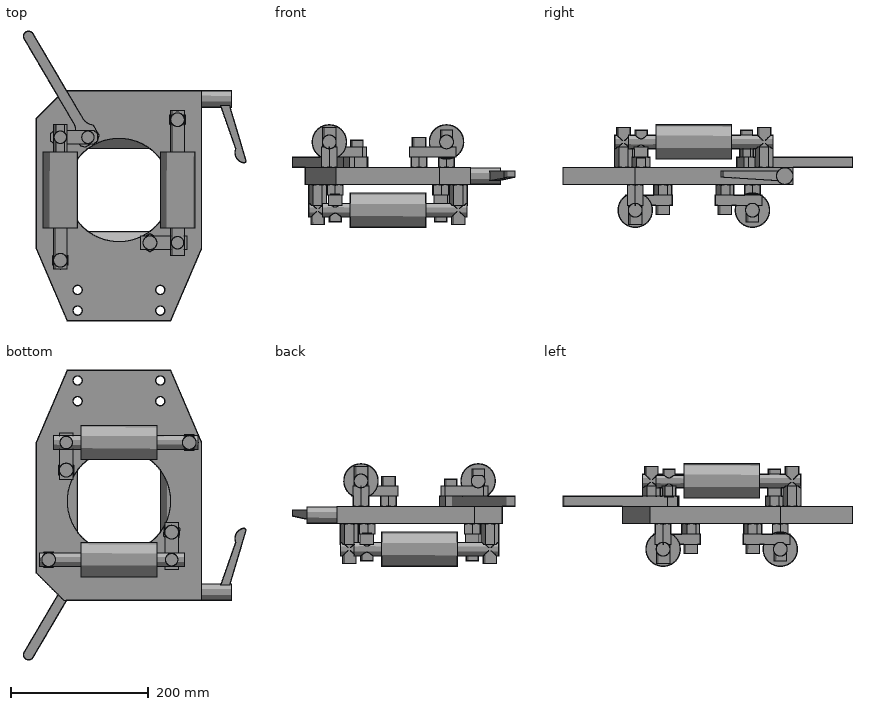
import cadquery as cq
import math

PLATE_THICKNESS = 25.0
PLATE_HALF_WIDTH = 120.0
PLATE_BACK_Y = 144.0
PLATE_FRONT_Y = -190.0
PLATE_FRONT_HALF_WIDTH = 75.0
PLATE_TAPER_START_Y = -85.0
PLATE_CORNER_CUT = 40.0
BORE_DIAMETER = 150.0
MOUNT_HOLE_DIAMETER = 13.0
MOUNT_HOLE_X = 60.0
MOUNT_HOLE_YS = (-145.0, -175.0)
PLATE_TOP = PLATE_THICKNESS / 2

OUTER_HEIGHT = 149.0
ROLLER_DIAMETER = 50.0
ROLLER_LENGTH = 110.0
ROLLER_OFFSET = 85.0
ROLLER_Z = (OUTER_HEIGHT - ROLLER_DIAMETER) / 2
SHAFT_DIAMETER = 20.0
SHAFT_FIXED_END = 115.0
SHAFT_LINK_END = 95.0
SHAFT_FLAT_WIDTH = 12.0

FIXED_POST_DIAMETER = 19.8
FIXED_POST_Y = -102.0
FIXED_POST_TOP = 70.5

LINK_WIDTH = 20.0
LINK_BOTTOM = PLATE_TOP + 15.0
LINK_TOP = LINK_BOTTOM + 15.0
LINK_OVERHANG = 14.0
LINK_Y = 76.5
LINK_BEVEL_LENGTH = 6.0
LINK_BEVEL_WIDTH = 4.5
PIVOT_OFFSET = 45.0
LINK_PIN_DIAMETER = 18.0
LINK_PIN_TOP = 66.5
LINK_PIN_TAIL_DIAMETER = 13.0
LINK_PIN_TAIL = 1.5
PIVOT_DIAMETER = 20.0
PIVOT_TOP = 56.0
CLAMP_PIVOT_DIAMETER = 18.0
CLAMP_PIVOT_TOP = 52.0

HEX_FLATS = 22.8
HEX_CHAMFER_ANGLE = 30.0
HEX_FLATS_TO_X = 30.0
LOWER_PIVOT_HEX_TURNS = {90: 30.0, 270: 36.0}

HANDLE_ANGLE = 120.45
HANDLE_HEIGHT = LINK_BOTTOM - PLATE_TOP
HANDLE_BAR_WIDTH = 15.0
HANDLE_BACK_REACH = 230.45
HANDLE_HEAD_WIDTH = 31.0
HANDLE_HEAD_BACK = 10.5
HANDLE_HEAD_FRONT = 11.5
HANDLE_HEAD_CHAMFER = 5.0
HANDLE_NECK_RADIUS = 20.0

PLUNGER_DIAMETER = 24.0
PLUNGER_END_X = 163.5
PLUNGER_Y = PLATE_BACK_Y - PLUNGER_DIAMETER / 2
LEVER_TOP_Z = 7.5
LEVER_ROOT_BOTTOM_Z = -7.3
LEVER_TIP_BOTTOM_Z = -1.5
LEVER_ROOT_LEFT_X = 144.0
LEVER_ROOT_RIGHT_X = 157.8
LEVER_NECK = (169.2, 60.0)
LEVER_BULGE_SIDE = (168.5, 57.0)
LEVER_BULGE_MIDDLE = (171.0, 45.5)
LEVER_BULGE_END = (179.5, 39.6)
LEVER_TIP_MIDDLE = (183.2, 40.0)
LEVER_TIP_RIGHT = (184.45, 42.5)


def upright(diameter, x, y, bottom, top):
    """Vertical round bar between two heights."""
    return cq.Workplane("XY").workplane(offset=bottom).center(x, y).circle(diameter / 2).extrude(top - bottom)


def along_y(diameter, x, z, start_y, end_y):
    """Round bar lying along Y."""
    bar = cq.Solid.makeCylinder(
        diameter / 2, end_y - start_y, cq.Vector(x, start_y, z), cq.Vector(0, 1, 0)
    )
    return cq.Workplane(obj=bar)


def hex_spacer(x, y, top, turn=0.0):
    """Hexagonal spacer on the plate, two flats facing X, corners bevelled at the plate end."""
    height = top - PLATE_TOP
    flat_radius = HEX_FLATS / 2
    corner_radius = HEX_FLATS / math.sqrt(3)
    bevel = (corner_radius - flat_radius) * math.tan(math.radians(HEX_CHAMFER_ANGLE))
    prism = (
        cq.Workplane("XY")
        .polygon(6, 2 * corner_radius)
        .extrude(height)
        .rotate((0, 0, 0), (0, 0, 1), HEX_FLATS_TO_X + turn)
    )
    blank_profile = [
        (0, 0),
        (flat_radius, 0),
        (corner_radius, bevel),
        (corner_radius, height),
        (0, height),
    ]
    turned_blank = cq.Workplane("XZ").polyline(blank_profile).close().revolve(360, (0, 0, 0), (0, 1, 0))
    return prism.intersect(turned_blank).translate((x, y, PLATE_TOP))


def make_plate():
    corner_cut_x = PLATE_CORNER_CUT - PLATE_HALF_WIDTH
    outline = [
        (-PLATE_FRONT_HALF_WIDTH, PLATE_FRONT_Y),
        (PLATE_FRONT_HALF_WIDTH, PLATE_FRONT_Y),
        (PLATE_HALF_WIDTH, PLATE_TAPER_START_Y),
        (PLATE_HALF_WIDTH, PLATE_BACK_Y),
        (corner_cut_x, PLATE_BACK_Y),
        (-PLATE_HALF_WIDTH, PLATE_BACK_Y - PLATE_CORNER_CUT),
        (-PLATE_HALF_WIDTH, PLATE_TAPER_START_Y),
    ]
    mount_holes = [(side * MOUNT_HOLE_X, y) for side in (-1, 1) for y in MOUNT_HOLE_YS]
    plate = cq.Workplane("XY").polyline(outline).close().extrude(PLATE_THICKNESS / 2, both=True)
    bore = cq.Workplane("XY").circle(BORE_DIAMETER / 2).extrude(PLATE_THICKNESS, both=True)
    holes = (
        cq.Workplane("XY")
        .pushPoints(mount_holes)
        .circle(MOUNT_HOLE_DIAMETER / 2)
        .extrude(PLATE_THICKNESS, both=True)
    )
    return plate.cut(bore).cut(holes)


def make_link(bevelled):
    """Flat bar from the shaft pin to the pivot, with square ends or bevelled corners."""
    length = ROLLER_OFFSET - PIVOT_OFFSET + 2 * LINK_OVERHANG
    center_x = -(ROLLER_OFFSET + PIVOT_OFFSET) / 2
    thickness = LINK_TOP - LINK_BOTTOM
    plane = cq.Workplane("XY").workplane(offset=LINK_BOTTOM).center(center_x, LINK_Y)
    if bevelled:
        tip = length / 2
        shoulder = tip - LINK_BEVEL_LENGTH
        side = LINK_WIDTH / 2
        tip_side = side - LINK_BEVEL_WIDTH
        outline = [
            (tip, -tip_side),
            (tip, tip_side),
            (shoulder, side),
            (-shoulder, side),
            (-tip, tip_side),
            (-tip, -tip_side),
            (-shoulder, -side),
            (shoulder, -side),
        ]
        link = plane.polyline(outline).close().extrude(thickness)
    else:
        link = plane.rect(length, LINK_WIDTH).extrude(thickness)
    return link


def make_roller_unit(clamped, pivot_hex_turn=0.0):
    """Left upper roller with shaft, fixed post and swing link; the clamped one takes the handle."""
    x = -ROLLER_OFFSET
    unit = along_y(ROLLER_DIAMETER, x, ROLLER_Z, -ROLLER_LENGTH / 2, ROLLER_LENGTH / 2)
    shaft = along_y(SHAFT_DIAMETER, x, ROLLER_Z, -SHAFT_FIXED_END, SHAFT_LINK_END)
    if clamped:
        shaft = shaft.cut(make_shaft_flat())
    tail_end = LINK_BOTTOM - LINK_PIN_TAIL
    unit = unit.union(shaft)
    unit = unit.union(hex_spacer(x, FIXED_POST_Y, LINK_TOP))
    unit = unit.union(upright(FIXED_POST_DIAMETER, x, FIXED_POST_Y, PLATE_TOP, FIXED_POST_TOP))
    unit = unit.union(make_link(bevelled=clamped))
    unit = unit.union(upright(LINK_PIN_DIAMETER, x, LINK_Y, LINK_BOTTOM, LINK_PIN_TOP))
    unit = unit.union(upright(LINK_PIN_TAIL_DIAMETER, x, LINK_Y, tail_end, LINK_BOTTOM))
    if clamped:
        pivot = upright(CLAMP_PIVOT_DIAMETER, -PIVOT_OFFSET, LINK_Y, PLATE_TOP, CLAMP_PIVOT_TOP)
    else:
        pivot = upright(PIVOT_DIAMETER, -PIVOT_OFFSET, LINK_Y, PLATE_TOP, PIVOT_TOP)
        pivot = pivot.union(hex_spacer(-PIVOT_OFFSET, LINK_Y, LINK_BOTTOM, pivot_hex_turn))
    return unit.union(pivot)


def make_shaft_flat():
    """Block that planes a flat on top of the shaft, from the roller to the link end."""
    flat_height = math.sqrt((SHAFT_DIAMETER / 2) ** 2 - (SHAFT_FLAT_WIDTH / 2) ** 2)
    flat_length = SHAFT_LINK_END - ROLLER_LENGTH / 2
    return (
        cq.Workplane("XY")
        .box(SHAFT_DIAMETER, flat_length, SHAFT_DIAMETER, centered=(True, False, False))
        .translate((-ROLLER_OFFSET, ROLLER_LENGTH / 2, ROLLER_Z + flat_height))
    )


def make_handle():
    """Clamping handle, built along +X from its pivot and then swung into place."""
    bar_half = HANDLE_BAR_WIDTH / 2
    head_half = HANDLE_HEAD_WIDTH / 2
    tip_center = (HANDLE_BACK_REACH - bar_half - LINK_Y) / math.sin(math.radians(HANDLE_ANGLE))
    neck_rise = head_half - bar_half
    neck_end = HANDLE_HEAD_FRONT + math.sqrt(HANDLE_NECK_RADIUS**2 - (HANDLE_NECK_RADIUS - neck_rise) ** 2)
    chamfer_end = HANDLE_HEAD_CHAMFER - HANDLE_HEAD_BACK
    back_half = head_half - HANDLE_HEAD_CHAMFER
    handle = (
        cq.Workplane("XY")
        .moveTo(neck_end, bar_half)
        .lineTo(tip_center, bar_half)
        .threePointArc((tip_center + bar_half, 0), (tip_center, -bar_half))
        .lineTo(neck_end, -bar_half)
        .radiusArc((HANDLE_HEAD_FRONT, -head_half), -HANDLE_NECK_RADIUS)
        .lineTo(chamfer_end, -head_half)
        .lineTo(-HANDLE_HEAD_BACK, -back_half)
        .lineTo(-HANDLE_HEAD_BACK, back_half)
        .lineTo(chamfer_end, head_half)
        .lineTo(HANDLE_HEAD_FRONT, head_half)
        .radiusArc((neck_end, bar_half), -HANDLE_NECK_RADIUS)
        .close()
        .extrude(HANDLE_HEIGHT)
    )
    return handle.rotate((0, 0, 0), (0, 0, 1), HANDLE_ANGLE).translate((-PIVOT_OFFSET, LINK_Y, PLATE_TOP))


def make_plunger():
    """Round plunger body along X with a lever whose underside rises towards the tip."""
    body = (
        cq.Workplane("YZ")
        .workplane(offset=PLATE_HALF_WIDTH)
        .center(PLUNGER_Y, 0)
        .circle(PLUNGER_DIAMETER / 2)
        .extrude(PLUNGER_END_X - PLATE_HALF_WIDTH)
    )
    lever_plan = (
        cq.Workplane("XY")
        .workplane(offset=LEVER_ROOT_BOTTOM_Z)
        .moveTo(LEVER_ROOT_RIGHT_X, PLUNGER_Y)
        .lineTo(LEVER_ROOT_LEFT_X, PLUNGER_Y)
        .lineTo(*LEVER_NECK)
        .lineTo(*LEVER_BULGE_SIDE)
        .threePointArc(LEVER_BULGE_MIDDLE, LEVER_BULGE_END)
        .threePointArc(LEVER_TIP_MIDDLE, LEVER_TIP_RIGHT)
        .close()
        .extrude(LEVER_TOP_Z - LEVER_ROOT_BOTTOM_Z)
    )
    tip_y = LEVER_BULGE_END[1]
    side_profile = [
        (PLUNGER_Y, LEVER_TOP_Z),
        (0, LEVER_TOP_Z),
        (0, LEVER_TIP_BOTTOM_Z),
        (tip_y, LEVER_TIP_BOTTOM_Z),
        (PLUNGER_Y, LEVER_ROOT_BOTTOM_Z),
    ]
    side_slab = cq.Workplane("YZ").polyline(side_profile).close().extrude(2 * PLUNGER_END_X)
    return body.union(lever_plan.intersect(side_slab))


def spin(unit, angle):
    """Turn a unit about the bore axis."""
    return unit.rotate((0, 0, 0), (0, 0, 1), angle)


result = make_plate()
result = result.union(make_roller_unit(clamped=True))
result = result.union(spin(make_roller_unit(clamped=False), 180))
for lower_angle, hex_turn in LOWER_PIVOT_HEX_TURNS.items():
    lower_unit = make_roller_unit(clamped=False, pivot_hex_turn=hex_turn).mirror("XY")
    result = result.union(spin(lower_unit, lower_angle))
result = result.union(make_handle())
result = result.union(make_plunger())